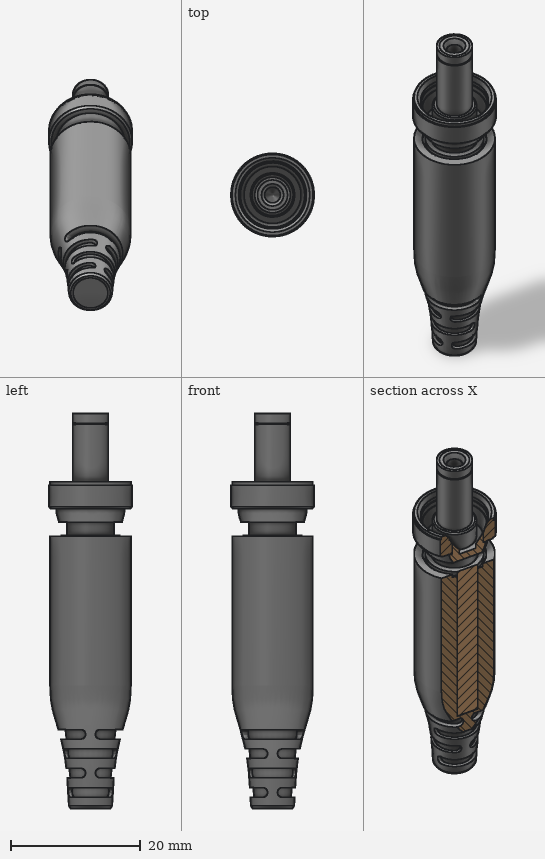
import cadquery as cq

total_length = 61.0
bend_relief_top = 19.0
handle_top = 42.05
core_top = 42.25
cup_bottom = 44.25
collar_bottom = 46.25
collar_top = 50.5
hub_top = 49.0
tip_length = 1.5
tip_gap = 0.2

handle_diameter = 12.5
handle_radius = handle_diameter / 2
shoulder_radius = 5.0
shoulder_height = 12.3
waist_radius = 3.9
waist_height = 7.45
tail_radius = 3.35
tail_chamfer_height = 0.4
tail_chamfer_width = 0.3
mouth_radius = 4.95
mouth_depth = 0.6

slot_height = 1.45
slot_pitch = 3.0
slot_count = 4
lowest_slot_center = 2.5
web_width = 1.5

core_tail_radius = 2.7
core_cone_top_radius = 3.95
core_cone_top = 12.8
core_diameter = 9.1
core_radius = core_diameter / 2

neck_radius = 3.65
hub_radius = 3.4
hub_chamfer = 0.25
stem_socket_depth = 2.45
stem_bottom = core_top - stem_socket_depth

cup_bottom_radius = 4.9
cup_top_radius = 5.3
cup_middle_radius = 5.2
cup_bore_radius = 4.4
cup_mouth_radius = 4.95
cup_floor = 45.65
cup_bore_top = 46.55
cup_rim = 48.35

collar_diameter = 12.9
collar_radius = collar_diameter / 2
collar_step_width = 0.2
collar_step_height = 0.55
collar_bottom_chamfer = 0.35
collar_mouth_radius = 5.75
collar_mouth_depth = 0.75
collar_bore_radius = 5.25
collar_ledge_radius = 5.1
collar_ledge_height = 49.1
collar_seat_radius = 5.0

plug_radius = 2.75
contact_radius = 2.3
funnel_radius = 1.7
funnel_depth = 0.85
bore_radius = 1.2
bore_depth = 7.3
drill_tip_depth = 0.75
tip_bottom = total_length - tip_length
barrel_top = tip_bottom - tip_gap
barrel_bottom = cup_bottom

turning_plane = cq.Plane(origin=(0, 0, 0), xDir=(-1, 0, 0), normal=(0, 1, 0))


def turned(outline):
    """Revolve a closed (radius, height) outline around the Z axis."""
    return outline.close().revolve(360, (0, 0, 0), (0, 1, 0))


def turned_polygon(points):
    return turned(cq.Workplane(turning_plane).polyline(points))


def make_core():
    return turned_polygon([
        (0, 0),
        (core_tail_radius, 0),
        (core_cone_top_radius, core_cone_top),
        (core_radius, core_cone_top),
        (core_radius, core_top),
        (neck_radius, core_top),
        (neck_radius, stem_bottom),
        (0, stem_bottom),
    ])


def slot_cutter(level):
    """Two opposite round-ended slots that leave a web on each side of the handle."""
    center_height = lowest_slot_center + level * slot_pitch
    slot_length = 2 * handle_radius
    center_offset = web_width / 2 + slot_length / 2
    cutter = (
        cq.Workplane("XZ", origin=(0, 0, center_height))
        .pushPoints([(-center_offset, 0), (center_offset, 0)])
        .slot2D(slot_length, slot_height)
        .extrude(handle_radius, both=True)
    )
    quarter_turn = 90 * (level % 2)
    return cutter.rotate((0, 0, 0), (0, 0, 1), quarter_turn)


def make_handle():
    tail_slope = (waist_radius - tail_radius, waist_height - tail_chamfer_height)
    grip_slope = (0, 1)
    handle = turned(
        cq.Workplane(turning_plane)
        .moveTo(core_tail_radius, 0)
        .lineTo(tail_radius - tail_chamfer_width, 0)
        .lineTo(tail_radius, tail_chamfer_height)
        .spline(
            [
                (waist_radius, waist_height),
                (shoulder_radius, shoulder_height),
                (handle_radius, bend_relief_top),
            ],
            tangents=[tail_slope, grip_slope],
            includeCurrent=True,
        )
        .lineTo(handle_radius, handle_top)
        .lineTo(mouth_radius, handle_top)
        .lineTo(mouth_radius, handle_top - mouth_depth)
        .lineTo(core_radius, handle_top - mouth_depth)
        .lineTo(core_radius, core_cone_top)
        .lineTo(core_cone_top_radius, core_cone_top)
    )
    for level in range(slot_count):
        handle = handle.cut(slot_cutter(level))
    return handle


def make_stem():
    return turned_polygon([
        (0, stem_bottom),
        (neck_radius, stem_bottom),
        (neck_radius, cup_bottom),
        (hub_radius, cup_bottom),
        (hub_radius, hub_top - hub_chamfer),
        (hub_radius - hub_chamfer, hub_top),
        (plug_radius, hub_top),
        (plug_radius, barrel_bottom),
        (0, barrel_bottom),
    ])


def make_cup():
    middle_height = (cup_bottom + collar_bottom) / 2
    return turned(
        cq.Workplane(turning_plane)
        .moveTo(hub_radius, cup_bottom)
        .lineTo(cup_bottom_radius, cup_bottom)
        .threePointArc((cup_middle_radius, middle_height), (cup_top_radius, collar_bottom))
        .lineTo(collar_seat_radius, collar_bottom)
        .lineTo(collar_seat_radius, cup_rim)
        .lineTo(cup_mouth_radius, cup_rim)
        .lineTo(cup_bore_radius, cup_bore_top)
        .lineTo(cup_bore_radius, cup_floor)
        .lineTo(hub_radius, cup_floor)
    )


def make_collar():
    step_height = collar_top - collar_step_height
    rim_radius = collar_radius - collar_step_width
    return turned_polygon([
        (collar_seat_radius, collar_bottom),
        (collar_radius - collar_bottom_chamfer, collar_bottom),
        (collar_radius, collar_bottom + collar_bottom_chamfer),
        (collar_radius, step_height),
        (rim_radius, step_height),
        (rim_radius, collar_top),
        (collar_mouth_radius, collar_top),
        (collar_bore_radius, collar_top - collar_mouth_depth),
        (collar_bore_radius, collar_ledge_height),
        (collar_ledge_radius, collar_ledge_height),
        (collar_seat_radius, cup_rim),
    ])


def make_sleeve(bottom, top):
    """Tube of the plug that surrounds the contact."""
    return turned_polygon([
        (contact_radius, bottom),
        (plug_radius, bottom),
        (plug_radius, top),
        (contact_radius, top),
    ])


def make_contact():
    bore_floor = total_length - bore_depth
    return turned_polygon([
        (0, barrel_bottom),
        (contact_radius, barrel_bottom),
        (contact_radius, total_length),
        (funnel_radius, total_length),
        (bore_radius, total_length - funnel_depth),
        (bore_radius, bore_floor),
        (0, bore_floor - drill_tip_depth),
    ])


core = make_core()
handle = make_handle()
stem = make_stem()
cup = make_cup()
collar = make_collar()
barrel = make_sleeve(barrel_bottom, barrel_top)
tip_ring = make_sleeve(tip_bottom, total_length)
contact = make_contact()

result = cq.Compound.makeCompound([
    core.val(),
    handle.val(),
    stem.val(),
    cup.val(),
    collar.val(),
    barrel.val(),
    tip_ring.val(),
    contact.val(),
])